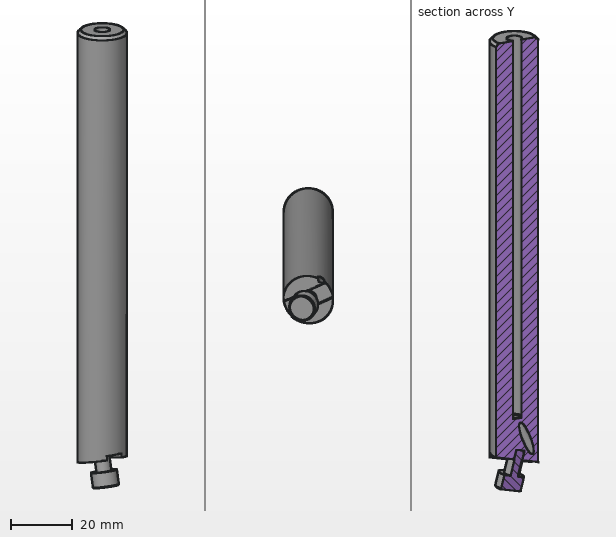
import cadquery as cq
import math

OVERALL_HEIGHT = 155.7
END_TILT = 15

BAR_DIAMETER = 16.0
TOP_CHAMFER = 1.1
SUPPLY_BORE_DIAMETER = 5.0
SLOT_WIDTH = 5.5
SLOT_DEPTH = 1.4

OUTLET_DIAMETER = 2.6
OUTLET_TILT = 25
OUTLET_DIRECTION = 149
OUTLET_EXIT_RADIUS = 7.0
OUTLET_EXIT_HEIGHT = 11.5
OUTLET_START_RADIUS = 0.5

SHANK_DIAMETER = 5.0
SHANK_INSERTION = 4.7
SHANK_EXPOSED = 4.0
HEAD_DIAMETER = 8.5
HEAD_LENGTH = 5.0
HEAD_CHAMFER = 0.3

tilt = math.radians(END_TILT)
end_height = (
    (SHANK_EXPOSED + HEAD_LENGTH) * math.cos(tilt)
    + (HEAD_DIAMETER / 2 - HEAD_CHAMFER) * math.sin(tilt)
)

end_plane = cq.Plane(
    origin=(0, 0, end_height),
    xDir=(math.cos(tilt), 0, math.sin(tilt)),
    normal=(math.sin(tilt), 0, -math.cos(tilt)),
)

outlet_rise = (OUTLET_EXIT_RADIUS - OUTLET_START_RADIUS) / math.tan(math.radians(OUTLET_TILT))
bore_floor = OUTLET_EXIT_HEIGHT + outlet_rise


def make_outlet_cutter():
    """Inclined cylinder starting just above the bore floor and running out of the bar."""
    overrun = BAR_DIAMETER
    steepness = math.radians(OUTLET_TILT)
    heading = math.radians(OUTLET_DIRECTION)
    direction = cq.Vector(
        math.sin(steepness) * math.cos(heading),
        math.sin(steepness) * math.sin(heading),
        -math.cos(steepness),
    )
    floor_center = cq.Vector(
        OUTLET_START_RADIUS * math.cos(heading),
        OUTLET_START_RADIUS * math.sin(heading),
        bore_floor,
    )
    lead_in = OUTLET_DIAMETER / 2
    length = lead_in + outlet_rise / math.cos(steepness) + overrun
    return cq.Solid.makeCylinder(
        OUTLET_DIAMETER / 2, length, floor_center - direction * lead_in, direction
    )


def make_bar():
    """Round bar with a supply bore, an outlet, and a slanted end with a slot and a screw hole."""
    bar = cq.Workplane("XY").circle(BAR_DIAMETER / 2).extrude(OVERALL_HEIGHT)
    bar = bar.faces(">Z").chamfer(TOP_CHAMFER)
    below_end = cq.Workplane(end_plane).rect(2 * BAR_DIAMETER, 2 * BAR_DIAMETER).extrude(BAR_DIAMETER)
    bar = bar.cut(below_end)
    supply_bore = (
        cq.Workplane("XY", origin=(0, 0, bore_floor))
        .circle(SUPPLY_BORE_DIAMETER / 2)
        .extrude(OVERALL_HEIGHT - bore_floor)
    )
    slot = cq.Workplane(end_plane).rect(2 * BAR_DIAMETER, SLOT_WIDTH).extrude(-SLOT_DEPTH)
    screw_hole = cq.Workplane(end_plane).circle(SHANK_DIAMETER / 2).extrude(-SHANK_INSERTION)
    outlet = cq.Workplane(make_outlet_cutter())
    for cutter in (supply_bore, outlet, slot, screw_hole):
        bar = bar.cut(cutter)
    return bar


def make_screw():
    """Cap screw with its shank partly inserted in the slanted end."""
    shank = (
        cq.Workplane(end_plane)
        .workplane(offset=-SHANK_INSERTION)
        .circle(SHANK_DIAMETER / 2)
        .extrude(SHANK_INSERTION + SHANK_EXPOSED)
    )
    head = (
        cq.Workplane(end_plane)
        .workplane(offset=SHANK_EXPOSED)
        .circle(HEAD_DIAMETER / 2)
        .extrude(HEAD_LENGTH)
    )
    head = head.faces("<Z").edges("<Z").chamfer(HEAD_CHAMFER)
    return shank.union(head)


bar = make_bar()
screw = make_screw()

result = cq.Compound.makeCompound([bar.val(), screw.val()])